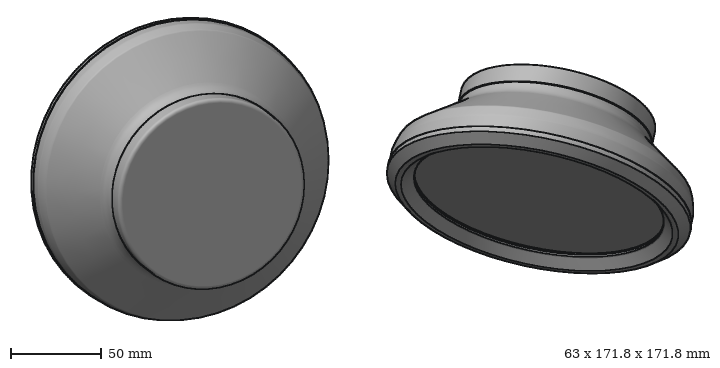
import cadquery as cq

OUTER_RADIUS = 171.8 / 2
LENGTH = 63.0

RING_INNER_RADIUS = 70.3
CROWN_CENTRE_X = 6.9
CROWN_CENTRE_RADIUS = 78.3
CROWN_HALF_WIDTH = 1.12
CROWN_HEIGHT = 0.07
EDGE_WIDTH = 0.5
EDGE_DROP = 0.07
INNER_CROWN_HEIGHT = 0.3
INNER_EDGE_DROP = 0.9

RIM_START_X = CROWN_CENTRE_X + CROWN_HALF_WIDTH + EDGE_WIDTH
RIM_RADIUS = 171.0 / 2
RIM_END_X = 15.1
TAPER_START = (16.7, 85.2)
TAPER_END = (21.8, 83.7)
FLARE_START = (22.9, 83.0)
FLARE_END = (43.1, 59.0)
NECK_RADIUS = 109.6 / 2
NECK_START_X = 50.9
NECK_END_X = 51.4
COLLAR_RADIUS = 110.0 / 2
COLLAR_START_X = 51.9
COLLAR_FILLET = 2.2


def turned(section):
    """Revolve a closed (X, radius) section about the X axis."""
    return section.close().revolve(360, (0, 0, 0), (1, 0, 0))


def crown_profile(crown_height, edge_drop):
    """(offset along the side, depth below its peak) for one crowned side of the ring."""
    edge_half_width = CROWN_HALF_WIDTH + EDGE_WIDTH
    edge_depth = crown_height + edge_drop
    return (
        (-edge_half_width, edge_depth),
        (-CROWN_HALF_WIDTH, crown_height),
        (0, 0),
        (CROWN_HALF_WIDTH, crown_height),
        (edge_half_width, edge_depth),
    )


def make_ring():
    """Bevelled trim ring whose flat back rests on the front face of the knob."""

    def front_point(offset, depth):
        return (depth, CROWN_CENTRE_RADIUS + offset)

    def outer_point(offset, depth):
        return (CROWN_CENTRE_X + offset, OUTER_RADIUS - depth)

    def inner_point(offset, depth):
        return (CROWN_CENTRE_X + offset, RING_INNER_RADIUS + depth)

    profile = crown_profile(CROWN_HEIGHT, EDGE_DROP)
    inner_profile = crown_profile(INNER_CROWN_HEIGHT, INNER_EDGE_DROP)
    points = [inner_point(*step) for step in reversed(inner_profile)]
    points += [front_point(*step) for step in profile]
    points += [outer_point(*step) for step in profile]
    return turned(cq.Workplane("XY").polyline(points))


def make_knob():
    """Knob with a flat front, a rounded rim, a conical flare and a collar."""
    section = (
        cq.Workplane("XY")
        .moveTo(RIM_START_X, 0)
        .lineTo(RIM_START_X, RIM_RADIUS)
        .lineTo(RIM_END_X, RIM_RADIUS)
        .tangentArcPoint(TAPER_START, relative=False)
        .lineTo(*TAPER_END)
        .tangentArcPoint(FLARE_START, relative=False)
        .lineTo(*FLARE_END)
        .tangentArcPoint((NECK_START_X, NECK_RADIUS), relative=False)
        .lineTo(NECK_END_X, NECK_RADIUS)
        .lineTo(COLLAR_START_X, COLLAR_RADIUS)
        .lineTo(LENGTH - COLLAR_FILLET, COLLAR_RADIUS)
        .tangentArcPoint((LENGTH, COLLAR_RADIUS - COLLAR_FILLET), relative=False)
        .lineTo(LENGTH, 0)
    )
    return turned(section)


ring = make_ring()
knob = make_knob()

result = cq.Compound.makeCompound([ring.val(), knob.val()])